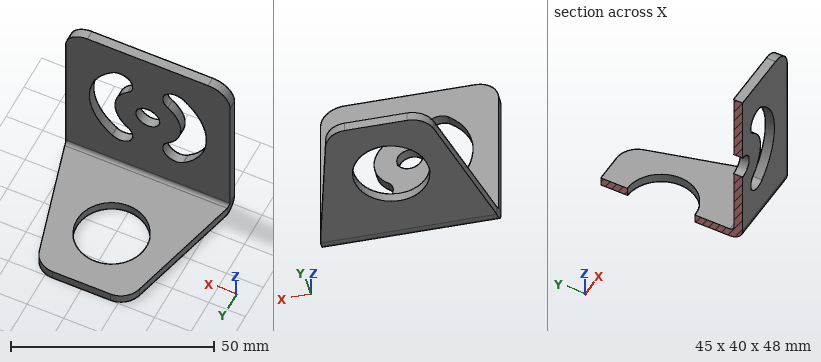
import cadquery as cq
import math

width = 45.0
depth = 40.0
height = 48.0
thickness = 2.6
corner_radius = 6.0

inner_bend_radius = 1.0
outer_bend_radius = inner_bend_radius + thickness
bend_angle = 90.0

tip_half_width = 12.5
side_lean = math.radians(15.0)
foot_hole_diameter = 19.0
foot_hole_to_tip = 17.0

half_width = width / 2
pivot_z = height - half_width
pivot_diameter = 6.5
slot_path_radius = 12.5
slot_width = 7.0
slot_half_angle = 52.5


def foot_half_width(y):
    """Half the foot width at distance y from the plate's outer face."""
    return tip_half_width + (depth - y) * math.tan(side_lean)


bend_end_half_width = foot_half_width(outer_bend_radius)


def polar(radius, angle):
    """Point at a radius and an angle in degrees."""
    return (radius * math.cos(math.radians(angle)), radius * math.sin(math.radians(angle)))


def make_plate():
    flat_height = height - outer_bend_radius
    return (
        cq.Workplane("XY")
        .box(width, thickness, flat_height, centered=(True, False, False))
        .translate((0, 0, outer_bend_radius))
        .edges("|Y and >Z")
        .fillet(corner_radius)
    )


def make_foot():
    return (
        cq.Workplane("XY")
        .moveTo(-bend_end_half_width, outer_bend_radius)
        .lineTo(bend_end_half_width, outer_bend_radius)
        .lineTo(tip_half_width, depth)
        .lineTo(-tip_half_width, depth)
        .close()
        .extrude(thickness)
        .edges("|Z and >Y")
        .fillet(corner_radius)
    )


def bend_section(x, inner_radius, outer_radius):
    """Ring sector about the bend axis, from the plate side round to the foot side."""
    plate_side, middle, foot_side = 180.0, 225.0, 270.0
    return (
        cq.Workplane("YZ", origin=(x, outer_bend_radius, outer_bend_radius))
        .moveTo(*polar(inner_radius, plate_side))
        .lineTo(*polar(outer_radius, plate_side))
        .threePointArc(polar(outer_radius, middle), polar(outer_radius, foot_side))
        .lineTo(*polar(inner_radius, foot_side))
        .threePointArc(polar(inner_radius, middle), polar(inner_radius, plate_side))
        .close()
    )


def make_bend():
    """Quarter-round bend that narrows evenly with angle from the plate to the foot."""
    envelope = bend_section(-half_width, inner_bend_radius, outer_bend_radius).extrude(width)
    core = bend_section(-bend_end_half_width, inner_bend_radius, outer_bend_radius).extrude(
        2 * bend_end_half_width
    )

    radial_margin = inner_bend_radius / 2
    side = bend_section(
        bend_end_half_width,
        inner_bend_radius - radial_margin,
        outer_bend_radius + radial_margin,
    ).twistExtrude(half_width - bend_end_half_width, -bend_angle)
    side = envelope.intersect(side)
    return core.union(side).union(side.mirror("YZ"))


def make_slot(direction):
    """Cutter for a curved slot centred on an angle about the pivot hole."""
    start = direction - slot_half_angle
    end = direction + slot_half_angle
    inner = slot_path_radius - slot_width / 2
    outer = slot_path_radius + slot_width / 2
    cap_reach = math.degrees(math.atan2(slot_width / 2, slot_path_radius))
    cap_radius = math.hypot(slot_path_radius, slot_width / 2)

    def cap_point(angle, side):
        """Outermost point of a round slot end, square to the radius at that end."""
        return polar(cap_radius, angle + side * cap_reach)

    return (
        cq.Workplane("XZ", origin=(0, 0, pivot_z))
        .moveTo(*polar(outer, start))
        .threePointArc(polar(outer, direction), polar(outer, end))
        .threePointArc(cap_point(end, 1), polar(inner, end))
        .threePointArc(polar(inner, direction), polar(inner, start))
        .threePointArc(cap_point(start, -1), polar(outer, start))
        .close()
        .extrude(-thickness)
    )


def make_pivot_hole():
    return (
        cq.Workplane("XZ", origin=(0, 0, pivot_z))
        .circle(pivot_diameter / 2)
        .extrude(-thickness)
    )


def make_foot_hole():
    return (
        cq.Workplane("XY")
        .center(0, depth - foot_hole_to_tip)
        .circle(foot_hole_diameter / 2)
        .extrude(thickness)
    )


plate = make_plate().cut(make_pivot_hole())
for slot_direction in (0.0, 180.0):
    plate = plate.cut(make_slot(slot_direction))

foot = make_foot().cut(make_foot_hole())

result = plate.union(make_bend()).union(foot)